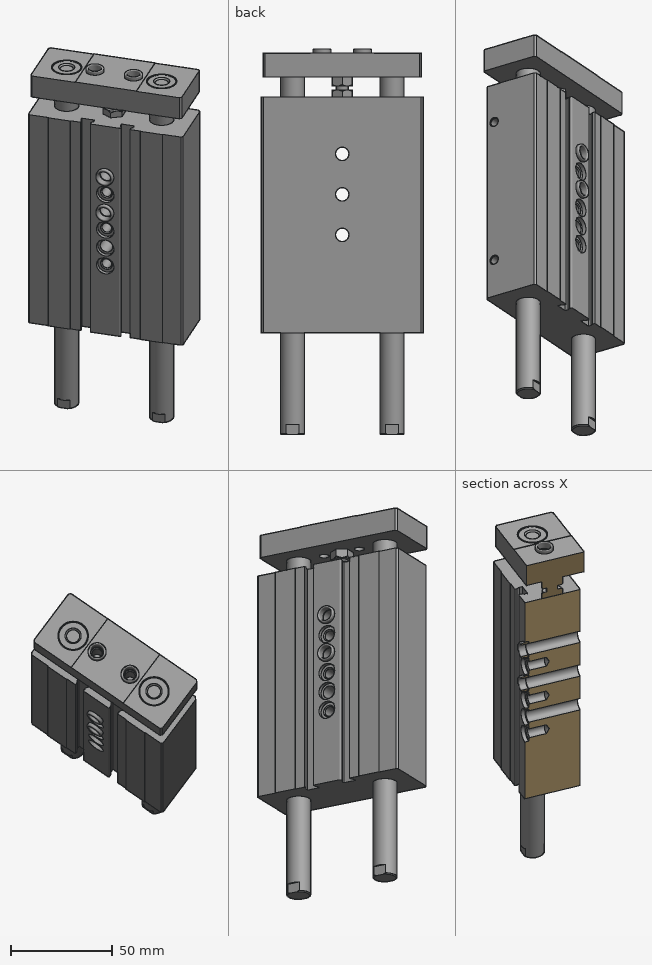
import cadquery as cq
import math


housing_width = 80.0
housing_back_y = 15.0
housing_front_y = -14.9
housing_bottom_z = -45.0
housing_top_z = 71.5
housing_chamfer = 1.1
panel_step = 0.29
side_panel_inner_x = 18.0
side_panel_outer_x = 29.5

slot_x = 10.3
slot_mouth_width = 5.0
slot_inner_width = 6.5
slot_floor_y = -10.3
slot_neck_depth = 1.0
slot_flare_depth = 1.5
slot_edge_rounding = 0.5

hole_pitch = 10.0
top_hole_z = 43.5
clearance_diameter = 6.5
thread_diameter = 5.0
thread_mouth_diameter = 6.0
thread_depth = 9.5
sleeve_diameter = 9.0
sleeve_length = 4.0
sleeve_seat_depth = 2.0

port_diameter = 4.2
port_mouth_diameter = 5.0
port_depth = 7.6
port_y = 9.9
port_heights = (-25.0, 51.0)

plate_width = 78.0
plate_back_y = 17.1
plate_front_y = -13.9
plate_bottom_z = 81.3
plate_top_z = 93.3
plate_chamfer = 1.0
plate_middle_width = 31.6
plate_step = 0.2
plate_end_z = plate_top_z - plate_step

hex_across_flats = 9.9
hex_corner_diameter = hex_across_flats / math.cos(math.radians(30))
upper_hex_height = 4.4
lower_hex_height = 3.5
coupling_neck_diameter = 6.0

rod_x = 24.5
rod_diameter = 12.0
rod_bottom_z = -95.2
rod_end_chamfer = 0.5
rod_flat_height = 5.0
rod_across_flats = 10.0
head_diameter = 14.0
head_height = 3.8
head_hole_mouth_diameter = 15.0
head_recess_mouth_diameter = 8.0
head_recess_floor_diameter = 6.5

drill_tip_half_angle = math.radians(59)


def cylinder(diameter, z_bottom, z_top, x=0.0):
    """Upright cylinder between two heights."""
    return cq.Workplane("XY", origin=(x, 0, z_bottom)).circle(diameter / 2).extrude(z_top - z_bottom)


def cone_sink(mouth_diameter, floor_diameter):
    """45 degree countersink around Z with its mouth at z = 0, opening upward."""
    depth = (mouth_diameter - floor_diameter) / 2
    return (
        cq.Workplane("XY")
        .circle(mouth_diameter / 2)
        .workplane(offset=-depth)
        .circle(floor_diameter / 2)
        .loft()
    )


def drilled_hole(mouth_diameter, diameter, depth):
    """Blind hole down from z = 0 with a chamfered mouth and a drill-point bottom."""
    radius = diameter / 2
    mouth_radius = mouth_diameter / 2
    tip_depth = depth + radius / math.tan(drill_tip_half_angle)
    outline = [
        (0, 0),
        (mouth_radius, 0),
        (radius, radius - mouth_radius),
        (radius, -depth),
        (0, -tip_depth),
    ]
    return cq.Workplane("XZ").polyline(outline).close().revolve(360, (0, 0, 0), (0, 1, 0))


def facing_front(shape, z, y=housing_front_y):
    """Turn a shape built along +Z to face -Y and put its z = 0 plane at y."""
    return shape.rotate((0, 0, 0), (1, 0, 0), 90).translate((0, y, z))


def facing_left(shape, y, z):
    """Turn a shape built along +Z to face -X on the housing's left side."""
    return shape.rotate((0, 0, 0), (0, 1, 0), -90).translate((-housing_width / 2, y, z))


def chamfered_block(width, front_y, back_y, bottom_z, top_z, chamfer):
    """Block centred on x = 0 with its four upright edges chamfered."""
    return (
        cq.Workplane("XY", origin=(0, (front_y + back_y) / 2, bottom_z))
        .rect(width, back_y - front_y)
        .extrude(top_z - bottom_z)
        .edges("|Z")
        .chamfer(chamfer)
    )


def front_recess(inner_x, outer_x):
    """Shallow cut of the housing front between two x positions."""
    height = housing_top_z - housing_bottom_z
    return (
        cq.Workplane("XY", origin=((inner_x + outer_x) / 2, housing_front_y + panel_step / 2, housing_bottom_z))
        .rect(abs(outer_x - inner_x), panel_step)
        .extrude(height)
    )


def housing_slot(x):
    """Undercut slot over the full height, with rounded lips."""
    mouth = slot_mouth_width / 2
    inner = slot_inner_width / 2
    lip = mouth + slot_edge_rounding
    lip_y = housing_front_y + slot_edge_rounding
    neck_y = lip_y + slot_neck_depth
    flare_y = neck_y + slot_flare_depth
    corner = slot_edge_rounding * (1 - math.sqrt(0.5))
    return (
        cq.Workplane("XY", origin=(x, 0, housing_bottom_z))
        .moveTo(lip, housing_front_y)
        .threePointArc((mouth + corner, housing_front_y + corner), (mouth, lip_y))
        .lineTo(mouth, neck_y)
        .lineTo(inner, flare_y)
        .lineTo(inner, slot_floor_y)
        .lineTo(-inner, slot_floor_y)
        .lineTo(-inner, flare_y)
        .lineTo(-mouth, neck_y)
        .lineTo(-mouth, lip_y)
        .threePointArc((-mouth - corner, housing_front_y + corner), (-lip, housing_front_y))
        .close()
        .extrude(housing_top_z - housing_bottom_z)
    )


def sleeve_seat():
    """Counterbore for a centring sleeve, down from z = 0."""
    return cylinder(sleeve_diameter, -sleeve_seat_depth, 0)


def threaded_seat():
    """Sleeve seat with a blind threaded hole in its floor."""
    thread = drilled_hole(thread_mouth_diameter, thread_diameter, thread_depth)
    return sleeve_seat().union(thread.translate((0, 0, -sleeve_seat_depth)))


def through_seat():
    """Sleeve seat with a clearance hole right through the housing."""
    return sleeve_seat().union(cylinder(clearance_diameter, housing_front_y - housing_back_y, 0))


def make_housing():
    body = chamfered_block(
        housing_width, housing_front_y, housing_back_y, housing_bottom_z, housing_top_z, housing_chamfer
    )
    for side in (-1, 1):
        body = body.cut(front_recess(side * slot_x, side * side_panel_inner_x))
        body = body.cut(front_recess(side * side_panel_outer_x, side * housing_width / 2))
        body = body.cut(housing_slot(side * slot_x))
        body = body.cut(cylinder(rod_diameter, housing_bottom_z, housing_top_z, side * rod_x))
    for pair in range(3):
        pair_z = top_hole_z - 2 * pair * hole_pitch
        body = body.cut(facing_front(through_seat(), pair_z))
        body = body.cut(facing_front(threaded_seat(), pair_z - hole_pitch))
    for z in port_heights:
        body = body.cut(facing_left(drilled_hole(port_mouth_diameter, port_diameter, port_depth), port_y, z))
    return body


def hex_nut(z_bottom, height, rounded_side):
    """Hexagon with flats facing +X and -X and one end (1 top, -1 bottom) turned to a cone."""
    prism = (
        cq.Workplane("XY", origin=(0, 0, z_bottom))
        .polygon(6, hex_corner_diameter)
        .extrude(height)
        .rotate((0, 0, 0), (0, 0, 1), 30)
    )
    corner_chamfer = (hex_corner_diameter - hex_across_flats) / 2
    turned_end = ">Z" if rounded_side > 0 else "<Z"
    turned = (
        cylinder(hex_corner_diameter, z_bottom, z_bottom + height)
        .edges(turned_end)
        .chamfer(corner_chamfer)
    )
    return prism.intersect(turned)


def make_plate():
    body = chamfered_block(
        plate_width, plate_front_y, plate_back_y, plate_bottom_z, plate_end_z, plate_chamfer
    )
    middle = (
        cq.Workplane("XY", origin=(0, (plate_front_y + plate_back_y) / 2, plate_end_z))
        .rect(plate_middle_width, plate_back_y - plate_front_y)
        .extrude(plate_step)
    )
    body = body.union(middle)
    for side in (-1, 1):
        x = side * rod_x
        body = body.cut(cylinder(rod_diameter, plate_bottom_z, plate_end_z, x))
        body = body.cut(cylinder(head_diameter, plate_end_z - head_height, plate_end_z, x))
        body = body.cut(cone_sink(head_hole_mouth_diameter, head_diameter).translate((x, 0, plate_end_z)))

        sleeve_x = side * hole_pitch
        seat_z = plate_top_z - sleeve_seat_depth
        body = body.cut(sleeve_seat().translate((sleeve_x, 0, plate_top_z)))
        body = body.cut(cylinder(thread_diameter, plate_bottom_z, seat_z, sleeve_x))
        body = body.cut(cone_sink(thread_mouth_diameter, thread_diameter).translate((sleeve_x, 0, seat_z)))

    upper_hex = hex_nut(plate_bottom_z - upper_hex_height, upper_hex_height, -1)
    lower_hex = hex_nut(housing_top_z, lower_hex_height, 1)
    neck = cylinder(coupling_neck_diameter, housing_top_z, plate_bottom_z)
    return body.union(neck).union(upper_hex).union(lower_hex)


def make_guide_rod(x):
    """Rod with wrench flats at its foot and a flush round head in the plate."""
    shank = cylinder(rod_diameter, rod_bottom_z, plate_end_z).faces("<Z").chamfer(rod_end_chamfer)
    flat_stock = (
        cq.Workplane("XY", origin=(0, 0, rod_bottom_z))
        .rect(rod_diameter, rod_diameter)
        .rect(rod_diameter, rod_across_flats)
        .extrude(rod_flat_height)
    )
    head = cylinder(head_diameter, plate_end_z - head_height, plate_end_z)
    recess = cone_sink(head_recess_mouth_diameter, head_recess_floor_diameter)
    rod = shank.cut(flat_stock).union(head).cut(recess.translate((0, 0, plate_end_z)))
    return rod.translate((x, 0, 0))


def make_sleeve():
    """Centring sleeve along Z with fully rounded rims, its lower end at z = -sleeve_seat_depth."""
    outer_radius = sleeve_diameter / 2
    bore_radius = clearance_diameter / 2
    rim_radius = (outer_radius - bore_radius) / 2
    middle_radius = bore_radius + rim_radius
    bottom_z = -sleeve_seat_depth
    top_z = bottom_z + sleeve_length
    return (
        cq.Workplane("XZ")
        .moveTo(bore_radius, bottom_z + rim_radius)
        .threePointArc((middle_radius, bottom_z), (outer_radius, bottom_z + rim_radius))
        .lineTo(outer_radius, top_z - rim_radius)
        .threePointArc((middle_radius, top_z), (bore_radius, top_z - rim_radius))
        .close()
        .revolve(360, (0, 0, 0), (0, 1, 0))
    )


housing = make_housing()
plate = make_plate()
guide_rods = [make_guide_rod(side * rod_x) for side in (-1, 1)]
plate_sleeves = [make_sleeve().translate((side * hole_pitch, 0, plate_top_z)) for side in (-1, 1)]
front_sleeves = [facing_front(make_sleeve(), top_hole_z - 2 * pair * hole_pitch) for pair in range(2)]

bodies = [housing, plate, *guide_rods, *plate_sleeves, *front_sleeves]
result = cq.Compound.makeCompound([body.val() for body in bodies])